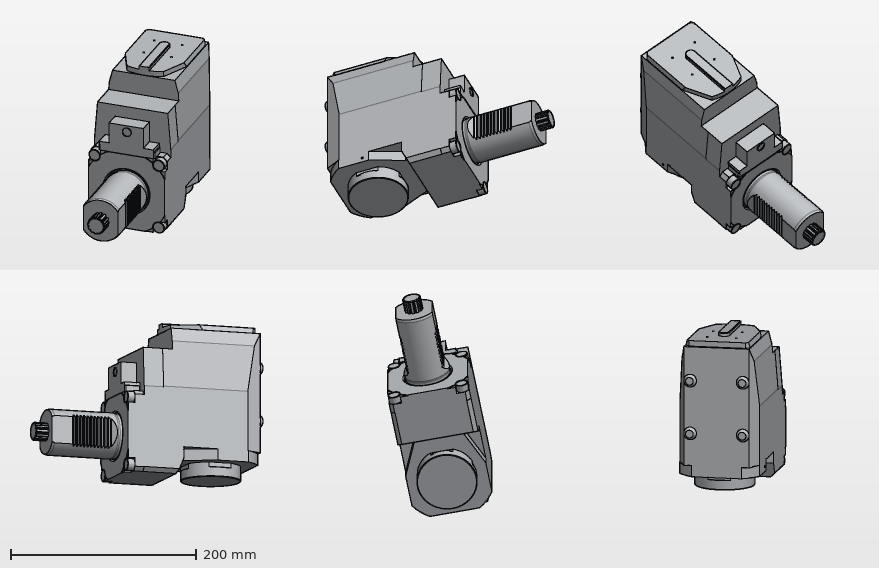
import cadquery as cq
import math


HALF_WIDTH = 44.0
FLANGE_REAR_Y = 18.8
ADAPTER_REAR_Y = 41.0
STEP_Y = 52.3
HOUSING_REAR_Y = 154.5
STEP_Z = 91.8
HOUSING_TOP_Z = 115.5
HOUSING_BOTTOM_Z = -27.3
LEG_BOTTOM_Z = -44.0
LEG_REAR_Y = 64.2
LEG_TOE_Y = 56.9
EDGE_CHAMFER = 4.7
TAPER_START_Z = 50.0
CREASE_Z = 100.9
CREASE_HALF_WIDTH = 39.8
TOP_HALF_WIDTH = 36.0
ADAPTER_TAPER_START_Z = 49.2
ADAPTER_TOP_HALF_WIDTH = 40.6

REAR_HALF_WIDTH = 36.0
REAR_CHAMFER_Y = 137.2
REAR_ROUND_RADIUS = 52.0
LOWER_BAND_Z = -15.0
RELIEF_REAR_Y = 103.0
RELIEF_FRONT_Y = 66.5
RELIEF_HALF_WIDTH = 28.0
CLEARANCE = 10.0

SPINDLE_Y = 110.3
NUT_DIAMETER = 65.0
NUT_FLATS_BOTTOM_Z = -32.5
NUT_BOTTOM_Z = -43.1
NUT_CHAMFER = 0.7
NUT_FLATS_WIDTH = 60.0
SIDE_HOLE_DIAMETER = 2.1
SIDE_HOLE_Z = -21.6
SMALL_HOLE_DEPTH = 2.0

PLATE_TOP_Z = 121.5
PLATE_REAR_Y = 150.2
PLATE_FRONT_RADIUS = 57.5
PLATE_NOSE_HALF_WIDTH = 21.1
PLATE_SHOULDER_Y = 88.9
PLATE_HALF_WIDTH = 35.4
PLATE_REAR_HALF_WIDTH = 31.0
PLATE_HOLE_DIAMETER = 1.7
PLATE_HOLE_SPACING = 32.0
KEY_TOP_Z = 125.5
KEY_WIDTH = 12.0
KEY_REAR_Y = 120.4
KEY_CHAMFER = 0.8

FLANGE_CHAMFER = 4.4
FLANGE_FACE_RADIUS = 49.0
FLANGE_FACE_RELIEF = 1.0
SCREW_OFFSET = 37.0
SCREW_HEAD_DIAMETER = 13.0
SCREW_HEAD_HEIGHT = 8.0
SCREW_HEAD_CHAMFER = 0.5
POCKET_FLOOR_Y = 8.3
POCKET_INNER = 30.3
NECK_RECESS_DIAMETER = 54.5
NECK_RECESS_DEPTH = 1.5
NECK_RECESS_FLOOR_DIAMETER = 51.5

BLOCK_FRONT_Y = 0.7
BLOCK_CENTER_X = -0.5
BLOCK_WIDTH = 39.6
BLOCK_TOP_Z = 78.2
BLOCK_FOOT_WIDTH = 62.4
BLOCK_FOOT_TOP_Z = 54.5
BASE_WIDTH = 64.6
BASE_TOP_Z = 50.8
BASE_CHAMFER = 1.4
PIN_HOLE_DIAMETER = 10.0
PIN_HOLE_Z = 70.3
PIN_HOLE_DEPTH = 1.0

SHANK_DIAMETER = 50.0
SHANK_END_Y = -78.0
SHANK_CHAMFER_LENGTH = 3.0
SHANK_CHAMFER_HEIGHT = 0.8
NECK_DIAMETER = 48.7
NECK_END_Y = -1.6
NECK_CONE_END_Y = -3.8
FLAT_HALF_WIDTH = 20.0
FLAT_START_Y = -10.0
TOOTH_PITCH = 4.0
GROOVE_COUNT = 11
FIRST_GROOVE_Y = -13.0
GROOVE_DEPTH = 1.7
GROOVE_MOUTH = 3.2
GROOVE_FLOOR = 0.6

SPLINE_END_Y = -92.65
SPLINE_TEETH = 12
SPLINE_ROTATION = 3.3
SPLINE_TIP_DIAMETER = 19.7
SPLINE_ROOT_DIAMETER = 17.0
SPLINE_TIP_WIDTH = 2.5
SPLINE_ROOT_WIDTH = 3.4
SPLINE_CHAMFER = 1.0

BUTTON_DIAMETER = 14.0
BUTTON_FACE_DIAMETER = 8.5
BUTTON_HEIGHT = 4.0
BUTTON_SPACING = 58.0
BUTTON_CENTER_Z = 49.4
BUTTON_BULGE = 0.4


def box(x_range, y_range, z_range):
    """Axis-aligned box between pairs of limits."""
    limits = (x_range, y_range, z_range)
    sizes = [high - low for low, high in limits]
    corner = tuple(low for low, _ in limits)
    return cq.Workplane("XY").box(*sizes, centered=False).translate(corner)


def along_y(sketch_points, y_start, y_end):
    """Closed XZ outline extruded from y_start to y_end."""
    plane = cq.Workplane("XZ", origin=(0, y_start, 0))
    return plane.polyline(sketch_points).close().extrude(y_start - y_end)


def rod(diameter, y_start, y_end, x=0.0, z=0.0):
    """Cylinder parallel to Y."""
    plane = cq.Workplane("XZ", origin=(x, y_start, z))
    return plane.circle(diameter / 2).extrude(y_start - y_end)


def both_sides(solid):
    """A solid together with its mirror image across X = 0."""
    return solid.union(solid.mirror("YZ"))


def symmetric_outline(right_side):
    """Points of the right half followed by their mirror images."""
    return right_side + [(-x, z) for x, z in reversed(right_side)]


def make_housing():
    section = symmetric_outline([
        (HALF_WIDTH - EDGE_CHAMFER, LEG_BOTTOM_Z),
        (HALF_WIDTH, LEG_BOTTOM_Z + EDGE_CHAMFER),
        (HALF_WIDTH, TAPER_START_Z),
        (CREASE_HALF_WIDTH, CREASE_Z),
        (TOP_HALF_WIDTH, HOUSING_TOP_Z),
    ])
    housing = along_y(section, ADAPTER_REAR_Y, HOUSING_REAR_Y)

    width = (-HALF_WIDTH - CLEARANCE, HALF_WIDTH + CLEARANCE)
    step = box(width, (ADAPTER_REAR_Y, STEP_Y), (STEP_Z, HOUSING_TOP_Z))
    underside = (
        cq.Workplane("YZ", origin=(width[0], 0, 0))
        .polyline([
            (LEG_REAR_Y, HOUSING_BOTTOM_Z),
            (LEG_TOE_Y, LEG_BOTTOM_Z),
            (HOUSING_REAR_Y, LEG_BOTTOM_Z),
            (HOUSING_REAR_Y, HOUSING_BOTTOM_Z),
        ])
        .close()
        .extrude(width[1] - width[0])
    )
    housing = housing.cut(step).cut(underside)
    return housing.cut(rear_chamfers()).cut(rear_rounding()).cut(side_reliefs())


def rear_chamfers():
    """Waste of the flat rear corners, above the rounded lower band."""
    corner = (
        cq.Workplane("XY", origin=(0, 0, LOWER_BAND_Z))
        .polyline([
            (REAR_HALF_WIDTH, HOUSING_REAR_Y),
            (HALF_WIDTH, REAR_CHAMFER_Y),
            (HALF_WIDTH, HOUSING_REAR_Y),
        ])
        .close()
        .extrude(HOUSING_TOP_Z - LOWER_BAND_Z)
    )
    return both_sides(corner)


def rear_rounding():
    """Waste outside the arc about the spindle axis, below the rear chamfers."""
    band = (HOUSING_BOTTOM_Z, LOWER_BAND_Z)
    rear_block = box((-HALF_WIDTH, HALF_WIDTH), (SPINDLE_Y, HOUSING_REAR_Y), band)
    kept = (
        cq.Workplane("XY", origin=(0, SPINDLE_Y, HOUSING_BOTTOM_Z))
        .circle(REAR_ROUND_RADIUS)
        .extrude(LOWER_BAND_Z - HOUSING_BOTTOM_Z)
    )
    return rear_block.cut(kept)


def side_reliefs():
    """Slanted pockets in the lower band that end at the leg."""
    relief = (
        cq.Workplane("XY", origin=(0, 0, HOUSING_BOTTOM_Z))
        .polyline([
            (HALF_WIDTH, RELIEF_REAR_Y),
            (RELIEF_HALF_WIDTH, RELIEF_FRONT_Y),
            (RELIEF_HALF_WIDTH, LEG_REAR_Y),
            (HALF_WIDTH, LEG_REAR_Y),
        ])
        .close()
        .extrude(LOWER_BAND_Z - HOUSING_BOTTOM_Z)
    )
    return both_sides(relief)


def make_adapter():
    section = symmetric_outline([
        (HALF_WIDTH - EDGE_CHAMFER, LEG_BOTTOM_Z),
        (HALF_WIDTH, LEG_BOTTOM_Z + EDGE_CHAMFER),
        (HALF_WIDTH, ADAPTER_TAPER_START_Z),
        (ADAPTER_TOP_HALF_WIDTH, STEP_Z),
    ])
    return along_y(section, FLANGE_REAR_Y, ADAPTER_REAR_Y)


def make_flange():
    """Square flange with a raised round face and four corner screws."""
    flange = (
        box((-HALF_WIDTH, HALF_WIDTH), (0, FLANGE_REAR_Y), (-HALF_WIDTH, HALF_WIDTH))
        .edges("|Y")
        .chamfer(FLANGE_CHAMFER)
    )
    face_disc = rod(2 * FLANGE_FACE_RADIUS, 0, FLANGE_FACE_RELIEF)
    span = (-HALF_WIDTH, HALF_WIDTH)
    flange = flange.cut(box(span, (0, FLANGE_FACE_RELIEF), span).cut(face_disc))

    pocket_span = (POCKET_INNER, HALF_WIDTH)
    pocket = (
        box(pocket_span, (0, POCKET_FLOOR_Y), pocket_span)
        .edges("|Y and <X and <Z")
        .fillet(SCREW_OFFSET - POCKET_INNER)
    )
    screw = (
        rod(SCREW_HEAD_DIAMETER, POCKET_FLOOR_Y - SCREW_HEAD_HEIGHT, POCKET_FLOOR_Y)
        .faces("<Y")
        .chamfer(SCREW_HEAD_CHAMFER)
        .translate((SCREW_OFFSET, 0, SCREW_OFFSET))
    )
    for quarter in range(4):
        turn = ((0, 0, 0), (0, 1, 0), 90 * quarter)
        flange = flange.cut(pocket.rotate(*turn)).union(screw.rotate(*turn))

    recess = (
        cq.Workplane("XZ")
        .circle(NECK_RECESS_DIAMETER / 2)
        .workplane(offset=-NECK_RECESS_DEPTH)
        .circle(NECK_RECESS_FLOOR_DIAMETER / 2)
        .loft(ruled=True)
    )
    return flange.cut(recess)


def make_stop_block():
    depth = (BLOCK_FRONT_Y, FLANGE_REAR_Y)
    block_x = (BLOCK_CENTER_X - BLOCK_WIDTH / 2, BLOCK_CENTER_X + BLOCK_WIDTH / 2)
    foot_x = (BLOCK_CENTER_X - BLOCK_FOOT_WIDTH / 2, BLOCK_CENTER_X + BLOCK_FOOT_WIDTH / 2)
    base_x = (-BASE_WIDTH / 2, BASE_WIDTH / 2)
    base = box(base_x, depth, (HALF_WIDTH, BASE_TOP_Z)).edges("|Z").chamfer(BASE_CHAMFER)
    foot = box(foot_x, depth, (BASE_TOP_Z, BLOCK_FOOT_TOP_Z))
    block = box(block_x, depth, (BLOCK_FOOT_TOP_Z, BLOCK_TOP_Z))
    pin_hole = rod(PIN_HOLE_DIAMETER, BLOCK_FRONT_Y, BLOCK_FRONT_Y + PIN_HOLE_DEPTH, z=PIN_HOLE_Z)
    return base.union(foot).union(block).cut(pin_hole)


def make_shank():
    """Shank with its relieved neck; the neck continues through the flange."""
    radius = SHANK_DIAMETER / 2
    shank = (
        cq.Workplane("XY")
        .polyline([
            (0, FLANGE_REAR_Y),
            (NECK_DIAMETER / 2, FLANGE_REAR_Y),
            (NECK_DIAMETER / 2, NECK_END_Y),
            (radius, NECK_CONE_END_Y),
            (radius, SHANK_END_Y + SHANK_CHAMFER_LENGTH),
            (radius - SHANK_CHAMFER_HEIGHT, SHANK_END_Y),
            (0, SHANK_END_Y),
        ])
        .close()
        .revolve(360, (0, 0, 0), (0, 1, 0))
    )
    return shank.cut(shank_flats()).cut(shank_grooves())


def shank_flats():
    """Side flats whose inner ends run out on 45 degree ramps."""
    outer = SHANK_DIAMETER / 2 + CLEARANCE
    flat = (
        cq.Workplane("XY", origin=(0, 0, -SHANK_DIAMETER / 2))
        .polyline([
            (FLAT_HALF_WIDTH, SHANK_END_Y),
            (FLAT_HALF_WIDTH, FLAT_START_Y),
            (outer, FLAT_START_Y + outer - FLAT_HALF_WIDTH),
            (outer, SHANK_END_Y),
        ])
        .close()
        .extrude(SHANK_DIAMETER)
    )
    return both_sides(flat)


def shank_grooves():
    """Clamping serrations across the two flats."""
    floor_x = FLAT_HALF_WIDTH - GROOVE_DEPTH
    plane = cq.Workplane("XY", origin=(0, 0, -SHANK_DIAMETER / 2))
    grooves = cq.Workplane("XY")
    for index in range(GROOVE_COUNT):
        y = FIRST_GROOVE_Y - index * TOOTH_PITCH
        groove = (
            plane.polyline([
                (floor_x, y - GROOVE_FLOOR / 2),
                (FLAT_HALF_WIDTH, y - GROOVE_MOUTH / 2),
                (FLAT_HALF_WIDTH, y + GROOVE_MOUTH / 2),
                (floor_x, y + GROOVE_FLOOR / 2),
            ])
            .close()
            .extrude(SHANK_DIAMETER)
        )
        grooves = grooves.add(both_sides(groove))
    return grooves.combine()


def make_spline():
    tip_radius = SPLINE_TIP_DIAMETER / 2
    root_radius = SPLINE_ROOT_DIAMETER / 2
    tooth_outline = symmetric_outline([
        (SPLINE_ROOT_WIDTH / 2, 0),
        (SPLINE_ROOT_WIDTH / 2, math.sqrt(root_radius**2 - (SPLINE_ROOT_WIDTH / 2) ** 2)),
        (SPLINE_TIP_WIDTH / 2, tip_radius),
    ])
    tooth = along_y(tooth_outline, SPLINE_END_Y, SHANK_END_Y)
    spline = rod(SPLINE_ROOT_DIAMETER, SPLINE_END_Y, SHANK_END_Y)
    for index in range(SPLINE_TEETH):
        angle = SPLINE_ROTATION + index * 360 / SPLINE_TEETH
        spline = spline.union(tooth.rotate((0, 0, 0), (0, 1, 0), angle))
    envelope = rod(SPLINE_TIP_DIAMETER, SPLINE_END_Y, SHANK_END_Y).faces("<Y").chamfer(SPLINE_CHAMFER)
    return spline.intersect(envelope)


def make_tool_nut():
    """Round clamping nut with four wrench flats next to the housing."""
    nut = (
        cq.Workplane("XY", origin=(0, SPINDLE_Y, NUT_BOTTOM_Z))
        .circle(NUT_DIAMETER / 2)
        .extrude(HOUSING_BOTTOM_Z - NUT_BOTTOM_Z)
        .faces("<Z")
        .chamfer(NUT_CHAMFER)
    )
    flats_waste = (
        cq.Workplane("XY", origin=(0, SPINDLE_Y, NUT_FLATS_BOTTOM_Z))
        .rect(NUT_DIAMETER, NUT_DIAMETER)
        .rect(NUT_FLATS_WIDTH, NUT_FLATS_WIDTH)
        .extrude(HOUSING_BOTTOM_Z - NUT_FLATS_BOTTOM_Z)
    )
    return nut.cut(flats_waste)


def make_top_plate():
    """Cover plate whose sides lean like the upper housing, with its key."""
    nose_y = SPINDLE_Y - math.sqrt(PLATE_FRONT_RADIUS**2 - PLATE_NOSE_HALF_WIDTH**2)
    front_y = SPINDLE_Y - PLATE_FRONT_RADIUS
    slope = (CREASE_HALF_WIDTH - TOP_HALF_WIDTH) / (HOUSING_TOP_Z - CREASE_Z)
    corner_y = PLATE_REAR_Y - (PLATE_HALF_WIDTH - PLATE_REAR_HALF_WIDTH)

    def outline(top_z):
        return (
            cq.Workplane("XY", origin=(0, 0, HOUSING_TOP_Z))
            .moveTo(-PLATE_NOSE_HALF_WIDTH, nose_y)
            .threePointArc((0, front_y), (PLATE_NOSE_HALF_WIDTH, nose_y))
            .lineTo(PLATE_HALF_WIDTH, PLATE_SHOULDER_Y)
            .lineTo(PLATE_HALF_WIDTH, corner_y)
            .lineTo(PLATE_REAR_HALF_WIDTH, PLATE_REAR_Y)
            .lineTo(-PLATE_REAR_HALF_WIDTH, PLATE_REAR_Y)
            .lineTo(-PLATE_HALF_WIDTH, corner_y)
            .lineTo(-PLATE_HALF_WIDTH, PLATE_SHOULDER_Y)
            .close()
            .extrude(top_z - HOUSING_TOP_Z)
        )

    top_half_width = PLATE_HALF_WIDTH - slope * (PLATE_TOP_Z - HOUSING_TOP_Z)
    slope_section = symmetric_outline([
        (PLATE_HALF_WIDTH, HOUSING_TOP_Z),
        (top_half_width, PLATE_TOP_Z),
    ])
    plate = outline(PLATE_TOP_Z).intersect(along_y(slope_section, front_y, PLATE_REAR_Y))

    holes = (
        cq.Workplane("XY", origin=(0, SPINDLE_Y, PLATE_TOP_Z))
        .rect(PLATE_HOLE_SPACING, PLATE_HOLE_SPACING, forConstruction=True)
        .vertices()
        .circle(PLATE_HOLE_DIAMETER / 2)
        .extrude(-SMALL_HOLE_DEPTH)
    )
    key_length = KEY_REAR_Y - front_y + CLEARANCE
    key = (
        cq.Workplane("XY", origin=(0, KEY_REAR_Y - key_length / 2, PLATE_TOP_Z))
        .slot2D(key_length, KEY_WIDTH, 90)
        .extrude(KEY_TOP_Z - PLATE_TOP_Z)
        .faces(">Z")
        .chamfer(KEY_CHAMFER)
        .intersect(outline(KEY_TOP_Z))
    )
    return plate.cut(holes).union(key)


def make_rear_screws():
    """Domed heads; the revolved heads rise along +Y from the rear face."""
    face_radius = BUTTON_FACE_DIAMETER / 2
    radius = BUTTON_DIAMETER / 2
    head = (
        cq.Workplane("XY")
        .moveTo(0, 0)
        .lineTo(radius, 0)
        .threePointArc(
            ((radius + face_radius) / 2 + BUTTON_BULGE, BUTTON_HEIGHT / 2 + BUTTON_BULGE),
            (face_radius, BUTTON_HEIGHT),
        )
        .lineTo(0, BUTTON_HEIGHT)
        .close()
        .revolve(360, (0, 0, 0), (0, 1, 0))
    )
    half_spacing = BUTTON_SPACING / 2
    heads = cq.Workplane("XY")
    for x in (-half_spacing, half_spacing):
        for z in (BUTTON_CENTER_Z - half_spacing, BUTTON_CENTER_Z + half_spacing):
            heads = heads.add(head.translate((x, HOUSING_REAR_Y, z)))
    return heads.combine()


def side_hole():
    """Shallow hole on the -X side, level with the spindle axis."""
    return (
        cq.Workplane("YZ", origin=(-HALF_WIDTH, SPINDLE_Y, SIDE_HOLE_Z))
        .circle(SIDE_HOLE_DIAMETER / 2)
        .extrude(SMALL_HOLE_DEPTH)
    )


result = (
    make_housing()
    .cut(side_hole())
    .union(make_adapter())
    .union(make_flange())
    .union(make_stop_block())
    .union(make_shank())
    .union(make_spline())
    .union(make_tool_nut())
    .union(make_top_plate())
    .union(make_rear_screws())
)